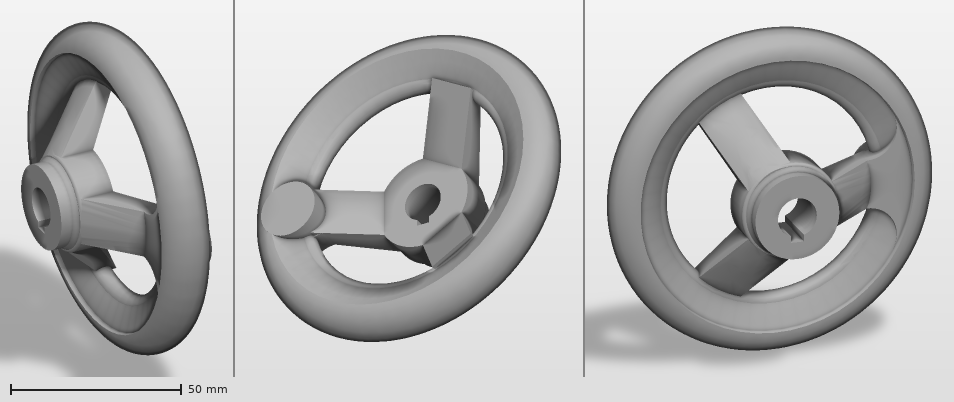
import cadquery as cq
import math

rim_radius = 50.0
rim_thickness = 15.0
overall_depth = 33.0
rim_half = rim_thickness / 2
grip_radius = rim_radius - rim_half
step_width = 0.4
step_depth = 1.4
dish_inner_radius = 34.8
dish_front_y = -3.0
opening_radius = 32.0
lip_y = 0.0
dish_rear_y = -dish_front_y

hub_radius = 15.0
hub_rear_y = -8.4
shoulder_y = -20.0
nose_radius = 13.0
shoulder_round = 1.0
nose_rear_y = -21.8
hub_front_y = rim_half - overall_depth
bore_radius = 6.0
keyway_width = 4.0
keyway_depth = 7.7

spoke_count = 3
spoke_width = 15.0
spoke_start = 5.0
spoke_end = 33.5
spoke_rear_slope = 0.63
hub_flank_x = math.sqrt(hub_radius**2 - (spoke_width / 2) ** 2)

spoke_inner_edge = (shoulder_y, 11.8, 14.5)
spoke_outer_edge = (5.0, 41.2, 41.4)

boss_x = 36.5
boss_radius = 9.0
pad_y = step_depth - rim_half
pad_start_x = 28.2
pad_fillet = 9.2
pad_arc_end_angle = math.radians(30)


def around_axis(radius, rear_y, front_y):
    """Solid cylinder on the wheel axis."""
    return cq.Workplane("XZ", origin=(0, rear_y, 0)).circle(radius).extrude(rear_y - front_y)


def make_rim():
    profile = (
        cq.Workplane("XY")
        .moveTo(grip_radius, -rim_half)
        .threePointArc((rim_radius, 0), (grip_radius, rim_half))
        .lineTo(dish_inner_radius, dish_rear_y)
        .threePointArc((opening_radius, lip_y), (dish_inner_radius, dish_front_y))
        .lineTo(grip_radius - step_width, step_depth - rim_half)
        .close()
    )
    return profile.revolve(360, (0, 0, 0), (0, 1, 0))


def make_hub():
    profile = (
        cq.Workplane("XY")
        .moveTo(0, hub_rear_y)
        .lineTo(hub_radius, hub_rear_y)
        .lineTo(hub_radius, shoulder_y + shoulder_round)
        .radiusArc((hub_radius - shoulder_round, shoulder_y), shoulder_round)
        .lineTo(nose_radius, nose_rear_y)
        .lineTo(nose_radius, hub_front_y)
        .lineTo(0, hub_front_y)
        .close()
    )
    return profile.revolve(360, (0, 0, 0), (0, 1, 0))


def spoke_rear_y(radius):
    """Rear face of a spoke at a distance from the axis."""
    return hub_rear_y + spoke_rear_slope * (radius - hub_flank_x)


def make_spoke():
    half = spoke_width / 2
    inner_y, inner_side, inner_middle = spoke_inner_edge
    outer_y, outer_side, outer_middle = spoke_outer_edge
    crowned = (
        cq.Workplane("XZ", origin=(0, outer_y, 0))
        .moveTo(spoke_start, -half)
        .lineTo(outer_side, -half)
        .threePointArc((outer_middle, 0), (outer_side, half))
        .lineTo(spoke_start, half)
        .close()
        .workplane(offset=outer_y - inner_y)
        .moveTo(spoke_start, -half)
        .lineTo(inner_side, -half)
        .threePointArc((inner_middle, 0), (inner_side, half))
        .lineTo(spoke_start, half)
        .close()
        .loft(ruled=True)
    )
    side = (
        cq.Workplane("XY")
        .polyline([
            (spoke_start, hub_front_y),
            (spoke_end, hub_front_y),
            (spoke_end, spoke_rear_y(spoke_end)),
            (spoke_start, spoke_rear_y(spoke_start)),
        ])
        .close()
        .extrude(half, both=True)
    )
    return crowned.intersect(side)


def make_handle_boss():
    boss = (
        cq.Workplane("XZ", origin=(boss_x, rim_half, 0))
        .circle(boss_radius)
        .extrude(rim_half - pad_y)
    )
    start_z = spoke_width / 2
    arc_z = start_z + pad_fillet
    pad_rear_y = spoke_rear_y(pad_start_x)

    def arc_point(angle):
        return (pad_start_x + pad_fillet * math.cos(angle), arc_z + pad_fillet * math.sin(angle))

    pad = (
        cq.Workplane("XZ", origin=(0, pad_rear_y, 0))
        .moveTo(pad_start_x, 0)
        .lineTo(pad_start_x, start_z)
        .threePointArc(arc_point(0), arc_point(pad_arc_end_angle))
        .lineTo(grip_radius, arc_point(pad_arc_end_angle)[1])
        .lineTo(grip_radius, 0)
        .close()
        .extrude(pad_rear_y - pad_y)
        .mirror("XY", union=True)
    )
    within_grip = around_axis(grip_radius, rim_half, pad_y)
    return boss.union(pad.intersect(within_grip))


def make_bore():
    shaft = around_axis(bore_radius, rim_half, hub_front_y)
    keyway = (
        cq.Workplane("XZ", origin=(0, rim_half, 0))
        .center(0, -keyway_depth / 2)
        .rect(keyway_width, keyway_depth)
        .extrude(rim_half - hub_front_y)
    )
    return shaft.union(keyway)


spoke = make_spoke()
wheel = make_rim().union(make_hub()).union(make_handle_boss())
for index in range(spoke_count):
    wheel = wheel.union(spoke.rotate((0, 0, 0), (0, 1, 0), index * 360 / spoke_count))

result = wheel.cut(make_bore())